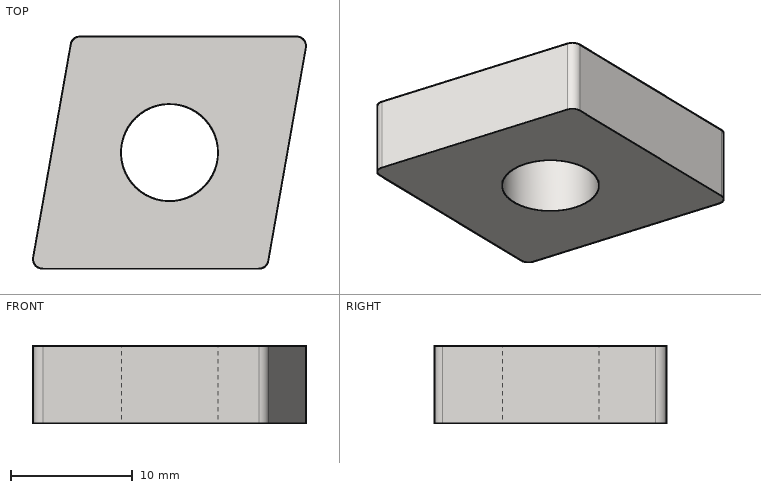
import cadquery as cq
import math

inscribed_circle = 19.05
thickness = 6.35
acute_angle = 80.0
nose_radius = 0.794
bore_diameter = 7.94

side_length = inscribed_circle / math.sin(math.radians(acute_angle))
side_lean = inscribed_circle / math.tan(math.radians(acute_angle))


def rhombic_body():
    """Rhombic prism with two sides along X and all four corners rounded."""
    half_depth = inscribed_circle / 2
    acute_x = (side_length + side_lean) / 2
    obtuse_x = (side_length - side_lean) / 2
    corners = [
        (-acute_x, -half_depth),
        (obtuse_x, -half_depth),
        (acute_x, half_depth),
        (-obtuse_x, half_depth),
    ]
    prism = cq.Workplane("XY").polyline(corners).close().extrude(thickness)
    return prism.edges("|Z").fillet(nose_radius)


def bore():
    """Cylinder removed for the central through hole."""
    return cq.Workplane("XY").circle(bore_diameter / 2).extrude(thickness)


result = rhombic_body().cut(bore())